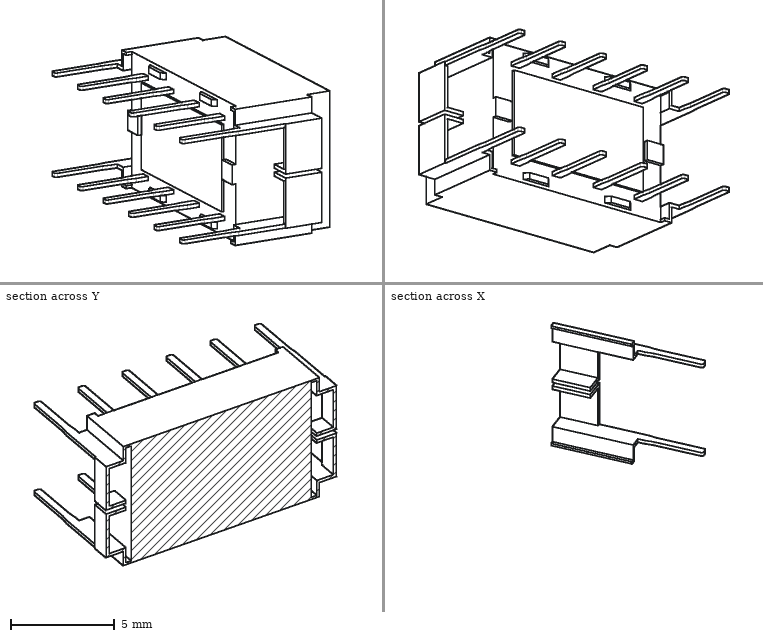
import cadquery as cq


overall_width = 13.3
overall_depth = 8.9
overall_height = 6.9

body_width = 10.4
body_depth = 5.2

lead_pitch = 2.54
row_offset = 2.54
lead_thickness = 0.2
lead_root_width = 0.5
lead_tip_width = 0.4
lead_tip = overall_depth - body_depth
lead_tip_radius = 0.12
taper_start = 0.65
taper_end = 1.1
outer_lead_x = 2.5 * lead_pitch
inner_lead_columns = [step * lead_pitch for step in (-1.5, -0.5, 0.5, 1.5)]

bracket_setback = 1.25
bracket_overhang = 0.3
bracket_back = body_depth - bracket_setback
bracket_front = -bracket_overhang
bracket_half_width = 5.65
bracket_sheet = 0.15
bracket_inner_x = bracket_half_width - bracket_sheet
end_plate_x = overall_width / 2
end_plate_depth = 2.0
end_plate_front = bracket_back - end_plate_depth
strip_top = row_offset + lead_thickness / 2
strip_bottom = strip_top - lead_thickness
plate_gap = 0.2

pad_width = 8.0
pad_height = 4.4
pad_rise = 0.13
tab_width = 1.0
tab_height = 1.0
tab_rise = 0.22
standoff_rise = 0.22
standoff_length = 1.6
standoff_crest = 1.15
standoff_thickness = 0.33
standoff_x = lead_pitch
standoff_z = 3.1


def box_between(x_range, y_range, z_range):
    """Axis-aligned box spanning the given (low, high) ranges."""
    size = [high - low for low, high in (x_range, y_range, z_range)]
    return cq.Workplane("XY").box(*size, centered=False).translate((x_range[0], y_range[0], z_range[0]))


def extrude_up(profile, z_center, thickness):
    """Extrude a closed XY profile along Z, centred on z_center."""
    return profile.extrude(thickness).translate((0, 0, z_center - thickness / 2))


def make_body():
    half_width = body_width / 2
    half_height = overall_height / 2
    return box_between((-half_width, half_width), (0, body_depth), (-half_height, half_height))


def make_pad():
    return box_between(
        (-pad_width / 2, pad_width / 2), (-pad_rise, 0), (-pad_height / 2, pad_height / 2)
    )


def make_end_tab():
    """Raised tab at the -X end of the front face."""
    left = -body_width / 2
    return box_between((left, left + tab_width), (-tab_rise, 0), (-tab_height / 2, tab_height / 2))


def make_standoff(x, z):
    """Small standoff rib with sloping ends."""
    half_root = standoff_length / 2
    half_crest = standoff_crest / 2
    profile = cq.Workplane("XY").polyline([
        (x - half_root, 0),
        (x - half_crest, -standoff_rise),
        (x + half_crest, -standoff_rise),
        (x + half_root, 0),
    ]).close()
    return extrude_up(profile, z, standoff_thickness)


def make_lead(x, z, root_y):
    """Flat lead running from root_y to the tip, narrowing below the body, with a rounded tip."""
    half_root = lead_root_width / 2
    half_tip = lead_tip_width / 2
    profile = cq.Workplane("XY").polyline([
        (x - half_root, root_y),
        (x - half_root, -taper_start),
        (x - half_tip, -taper_end),
        (x - half_tip, -lead_tip),
        (x + half_tip, -lead_tip),
        (x + half_tip, -taper_end),
        (x + half_root, -taper_start),
        (x + half_root, root_y),
    ]).close()
    return extrude_up(profile, z, lead_thickness).faces("<Y").edges("|Z").fillet(lead_tip_radius)


def make_bracket():
    """Upper bracket at the -X end: sheet top, side wall, lead strip, end plate and inward flange."""
    full_y = (bracket_front, bracket_back)
    plate_y = (end_plate_front, bracket_back)
    top = overall_height / 2
    bottom = plate_gap / 2
    inner_x = -bracket_inner_x
    sheet_top = box_between((-bracket_half_width, -body_width / 2), full_y, (top - bracket_sheet, top))
    side_wall = box_between((-bracket_half_width, inner_x), full_y, (strip_bottom, top))
    strip_left = -outer_lead_x - lead_root_width / 2
    strip = box_between((strip_left, inner_x), full_y, (strip_bottom, strip_top))
    plate_strip = box_between((-end_plate_x, inner_x), plate_y, (strip_bottom, strip_top))
    end_plate = box_between((-end_plate_x, -end_plate_x + lead_thickness), plate_y, (bottom, strip_top))
    flange = box_between((-end_plate_x, inner_x), plate_y, (bottom, bottom + lead_thickness))
    lead = make_lead(-outer_lead_x, row_offset, end_plate_front)
    bracket = sheet_top
    for piece in (side_wall, strip, plate_strip, end_plate, flange, lead):
        bracket = bracket.union(piece)
    return bracket


part = make_body().union(make_pad())

end_tab = make_end_tab()
part = part.union(end_tab).union(end_tab.mirror("YZ"))

for side in (-1, 1):
    for x in (-standoff_x, standoff_x):
        part = part.union(make_standoff(x, side * standoff_z))
    for x in inner_lead_columns:
        part = part.union(make_lead(x, side * row_offset, 0))

upper_left = make_bracket()
upper_pair = upper_left.union(upper_left.mirror("YZ"))
part = part.union(upper_pair).union(upper_pair.mirror("XY"))

result = part.clean()